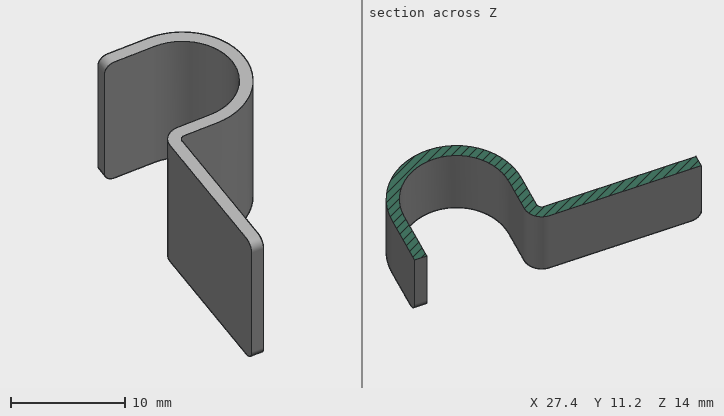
import cadquery as cq

total_length = 27.4
width = 14.0
thickness = 1.2
loop_inner_radius = 5.0
leg_length = 5.01
bend_inner_radius = 0.5
corner_radius = 1.0

loop_outer_radius = loop_inner_radius + thickness
bend_outer_radius = bend_inner_radius + thickness
flange_end = total_length - loop_outer_radius
flange_bottom = -leg_length
flange_top = flange_bottom + thickness
bend_x = loop_inner_radius + bend_outer_radius
bend_y = flange_bottom + bend_outer_radius


def make_strip():
    """Bent strip: free leg, half-round loop, second leg, bend and flat flange."""
    return (
        cq.Workplane("XY")
        .moveTo(-loop_outer_radius, flange_bottom)
        .lineTo(-loop_outer_radius, 0)
        .threePointArc((0, loop_outer_radius), (loop_outer_radius, 0))
        .lineTo(loop_outer_radius, bend_y)
        .radiusArc((bend_x, flange_top), -bend_inner_radius)
        .lineTo(flange_end, flange_top)
        .lineTo(flange_end, flange_bottom)
        .lineTo(bend_x, flange_bottom)
        .radiusArc((loop_inner_radius, bend_y), bend_outer_radius)
        .lineTo(loop_inner_radius, 0)
        .threePointArc((0, loop_inner_radius), (-loop_inner_radius, 0))
        .lineTo(-loop_inner_radius, flange_bottom)
        .close()
        .extrude(width / 2, both=True)
    )


def round_corners(strip):
    """Round the two corners at each free end, across the strip thickness."""
    strip = strip.faces(">X").edges("|Y").fillet(corner_radius)
    return strip.edges("|X").edges("<X").fillet(corner_radius)


result = round_corners(make_strip())